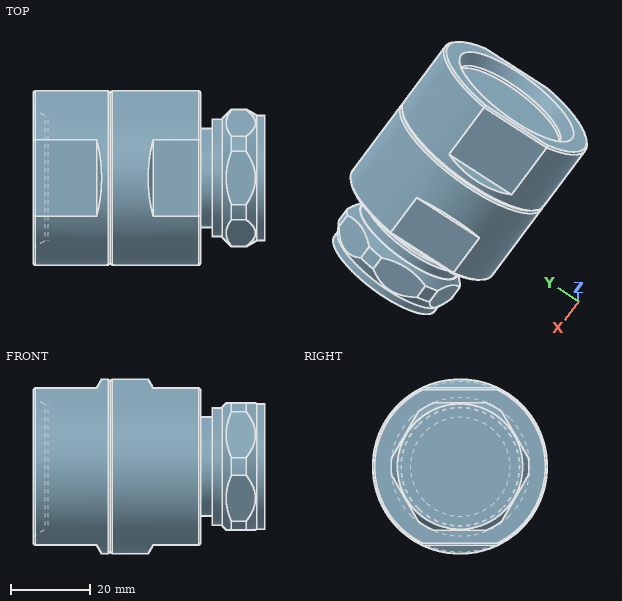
import cadquery as cq
import math


body_end = 42.25
joint_x = 19.4
neck_end = 45.1
collar_end = 47.6
nut_end = 56.35
total_length = 58.4

body_radius = 22.0
body_chamfer = 0.5
joint_groove_depth = 0.5
flat_distance = 19.8
left_flat_end = 16.0
right_flat_start = 30.25
flat_run_out_angle = 30.0
cut_clearance = 1.0

socket_mouth_radius = 17.5
socket_bore_radius = 15.7
socket_taper_depth = 3.0
socket_depth = 3.75

neck_radius = 12.5
collar_radius = 14.8
tail_radius = 15.8
nut_sides = 6
nut_apothem = 16.0
nut_corner_radius = 17.35
nut_front_radius = 15.0
nut_front_angle = 45.0
nut_back_angle = 30.0


def revolve_about_x(points):
    """Solid of revolution from a closed outline of (x, radius) points."""
    return cq.Workplane("XY").polyline(points).close().revolve(360, (0, 0, 0), (1, 0, 0))


def x_cylinder(start, end, radius):
    return cq.Workplane("YZ", origin=(start, 0, 0)).circle(radius).extrude(end - start)


def flat_cutter(face_x, shoulder_x, side):
    """Material removed by one wrench flat, from a body end to its sloping shoulder.

    side is +1 for the top flat and -1 for the bottom flat.
    """
    cut_height = body_radius - flat_distance + cut_clearance
    run_out_length = cut_height * math.tan(math.radians(flat_run_out_angle))
    run_out = math.copysign(run_out_length, shoulder_x - face_x)
    outer_z = flat_distance + cut_height
    profile = [
        (face_x, side * flat_distance),
        (shoulder_x, side * flat_distance),
        (shoulder_x + run_out, side * outer_z),
        (face_x, side * outer_z),
    ]
    return cq.Workplane("XZ").polyline(profile).close().extrude(body_radius, both=True)


def make_body():
    body = x_cylinder(0, body_end, body_radius)
    for side in (1, -1):
        body = body.cut(flat_cutter(0, left_flat_end, side))
        body = body.cut(flat_cutter(body_end, right_flat_start, side))
    return body.faces("<X or >X").chamfer(body_chamfer)


def make_joint_groove():
    """Ring with a V section, where the two halves of the body meet."""
    root_radius = body_radius - joint_groove_depth
    half_width = joint_groove_depth + cut_clearance
    section = [
        (joint_x, root_radius),
        (joint_x - half_width, body_radius + cut_clearance),
        (joint_x + half_width, body_radius + cut_clearance),
    ]
    return revolve_about_x(section)


def make_socket():
    return revolve_about_x([
        (0, 0),
        (0, socket_mouth_radius),
        (socket_taper_depth, socket_bore_radius),
        (socket_depth, socket_bore_radius),
        (socket_depth, 0),
    ])


def make_nut():
    """Hexagon with flats facing up and down, its corners turned and bevelled."""
    across_corners = 2 * nut_apothem / math.cos(math.pi / nut_sides)
    hexagon = cq.Workplane("YZ", origin=(collar_end, 0, 0)).polygon(nut_sides, across_corners)
    front_bevel = (nut_corner_radius - nut_front_radius) / math.tan(math.radians(nut_front_angle))
    back_bevel = (nut_corner_radius - tail_radius) / math.tan(math.radians(nut_back_angle))
    turned = revolve_about_x([
        (collar_end, 0),
        (collar_end, nut_front_radius),
        (collar_end + front_bevel, nut_corner_radius),
        (nut_end - back_bevel, nut_corner_radius),
        (nut_end, tail_radius),
        (nut_end, 0),
    ])
    return hexagon.extrude(nut_end - collar_end).intersect(turned)


result = (
    make_body()
    .cut(make_joint_groove())
    .cut(make_socket())
    .union(x_cylinder(body_end, neck_end, neck_radius))
    .union(x_cylinder(neck_end, collar_end, collar_radius))
    .union(make_nut())
    .union(x_cylinder(nut_end, total_length, tail_radius))
)